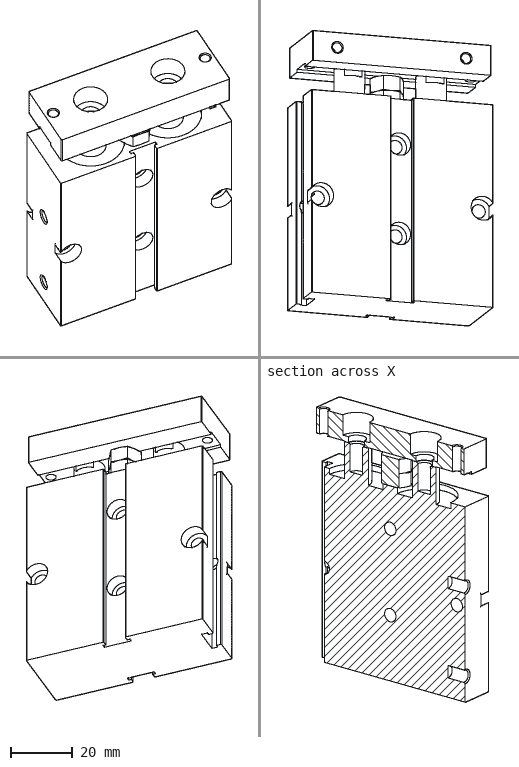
import cadquery as cq
import math

TOTAL_HEIGHT = 88
HOUSING_X = 25.0
HOUSING_Y = 62.0
HOUSING_Z = 68.0
PLATE_X = 24.0
PLATE_Y = 61.0
PLATE_Z = 10.0
EDGE_CHAMFER = 0.3
PLATE_BOTTOM = TOTAL_HEIGHT - PLATE_Z

ROD_SPACING = 28.0
ROD_DIAMETER = 10.0
ROD_FLAT_WIDTH = 8.0
ROD_FLAT_LENGTH = 3.0
ROD_SEAT_DEPTH = 1.0
ROD_THREAD_DIAMETER = 4.9
ROD_THREAD_DEPTH = 10.0
ROD_THREAD_MOUTH = 6.0
ROD_TOP = PLATE_BOTTOM + ROD_SEAT_DEPTH
RECESS_DIAMETER = 22
RECESS_DEPTH = 2.0
SCREW_CLEARANCE = 6.5
SCREW_HEAD_DIAMETER = 11.0
SCREW_HEAD_DEPTH = 7

SIDE_GROOVE_OPENING = 7.5
END_GROOVE_OPENING = 6.8
GROOVE_LIP = 1.8
GROOVE_UNDERCUT = 1.0
SIDE_GROOVE_DEPTH = 2.8
END_GROOVE_DEPTH = 3.8

END_HOLE_SPACING = 55.0
END_HOLE_Z = 33.0
CENTER_HOLE_ZS = (23.0, 53.0)
END_BORE_DIAMETER = 4.5
END_COUNTERBORE_DIAMETER = 8.0
CENTER_BORE_DIAMETER = 4.5
CENTER_COUNTERBORE_DIAMETER = 7.5
COUNTERBORE_DEPTH = 4.2

PORT_ZS = (9.0, 40.0)
PORT_DIAMETER = 4.1
PORT_MOUTH = 5.0
PORT_DEPTH = 7

PLATE_HOLE_DIAMETER = 3.3
PLATE_HOLE_MOUTH = 4.0
PLATE_SIDE_HOLE_SPACING = 44
PLATE_SIDE_HOLE_DROP = 5.0
PLATE_SIDE_HOLE_DEPTH = 7

HEX_ACROSS_FLATS = 9.9
HEX_ACROSS_CORNERS = HEX_ACROSS_FLATS / math.cos(math.radians(30))
HEX_CHAMFER_ANGLE = 15
HEX_X = 3.5
HEX_HEIGHT = (PLATE_BOTTOM - HOUSING_Z) / 2

UP = (0, 0, 1)
DOWN = (0, 0, -1)
ROD_YS = (-ROD_SPACING / 2, ROD_SPACING / 2)
END_HOLE_YS = (-END_HOLE_SPACING / 2, END_HOLE_SPACING / 2)


def cylinder(diameter, length, start, direction):
    return cq.Workplane(cq.Solid.makeCylinder(diameter / 2, length, cq.Vector(*start), cq.Vector(*direction)))


def threaded_hole(diameter, mouth, depth, start, direction):
    """Cutter for a threaded hole with a 45 degree countersunk mouth."""
    sink = (mouth - diameter) / 2
    cone = cq.Solid.makeCone(mouth / 2, diameter / 2, sink, cq.Vector(*start), cq.Vector(*direction))
    return cylinder(diameter, depth, start, direction).union(cq.Workplane(cone))


def block(size_x, size_y, size_z, bottom):
    """Box centred on the Z axis with broken vertical edges."""
    box = cq.Workplane("XY").box(size_x, size_y, size_z, centered=(True, True, False))
    return box.edges("|Z").chamfer(EDGE_CHAMFER).translate((0, 0, bottom))


def groove(opening, depth):
    """Undercut groove entering the plane y = 0 toward -Y, with chamfered lips."""
    half_mouth = opening / 2
    half_floor = half_mouth + GROOVE_UNDERCUT
    half_profile = [
        (half_mouth + EDGE_CHAMFER, 0),
        (half_mouth, -EDGE_CHAMFER),
        (half_mouth, -GROOVE_LIP),
        (half_floor, -GROOVE_LIP),
        (half_floor, -depth),
    ]
    mirrored = [(-x, y) for x, y in reversed(half_profile)]
    return cq.Workplane("XY").polyline(half_profile + mirrored).close().extrude(HOUSING_Z)


def counterbored_cross_hole(bore, counterbore, y, z, face_x):
    """Bore along X, counterbored from the two opposite faces at -face_x and +face_x."""
    cutter = cylinder(bore, HOUSING_X, (-HOUSING_X / 2, y, z), (1, 0, 0))
    for side in (-1, 1):
        cutter = cutter.union(cylinder(counterbore, COUNTERBORE_DEPTH, (side * face_x, y, z), (-side, 0, 0)))
    return cutter


def make_rod(y):
    """Guide rod with two flats and a threaded hole at its upper end."""
    bottom = HOUSING_Z - RECESS_DEPTH
    rod = cylinder(ROD_DIAMETER, ROD_TOP - bottom, (0, y, bottom), UP)
    flats_center = (0, y, ROD_TOP - ROD_FLAT_LENGTH / 2)
    outside = cq.Workplane("XY").box(2 * ROD_DIAMETER, 2 * ROD_DIAMETER, ROD_FLAT_LENGTH)
    between = cq.Workplane("XY").box(ROD_FLAT_WIDTH, 2 * ROD_DIAMETER, ROD_FLAT_LENGTH)
    rod = rod.cut(outside.cut(between).translate(flats_center))
    top = (0, y, ROD_TOP)
    return rod.cut(threaded_hole(ROD_THREAD_DIAMETER, ROD_THREAD_MOUTH, ROD_THREAD_DEPTH, top, DOWN))


def make_housing():
    """Cylinder housing together with its two guide rods."""
    housing = block(HOUSING_X, HOUSING_Y, HOUSING_Z, 0)

    side_groove = groove(SIDE_GROOVE_OPENING, SIDE_GROOVE_DEPTH).translate((0, HOUSING_X / 2, 0))
    for angle in (90, -90):
        housing = housing.cut(side_groove.rotate((0, 0, 0), UP, angle))
    housing = housing.cut(groove(END_GROOVE_OPENING, END_GROOVE_DEPTH).translate((0, HOUSING_Y / 2, 0)))

    side_x = HOUSING_X / 2
    groove_floor_x = side_x - SIDE_GROOVE_DEPTH
    for y in END_HOLE_YS:
        housing = housing.cut(
            counterbored_cross_hole(END_BORE_DIAMETER, END_COUNTERBORE_DIAMETER, y, END_HOLE_Z, side_x)
        )
    for z in CENTER_HOLE_ZS:
        housing = housing.cut(
            counterbored_cross_hole(CENTER_BORE_DIAMETER, CENTER_COUNTERBORE_DIAMETER, 0, z, groove_floor_x)
        )

    for z in PORT_ZS:
        start = (0, -HOUSING_Y / 2, z)
        housing = housing.cut(threaded_hole(PORT_DIAMETER, PORT_MOUTH, PORT_DEPTH, start, (0, 1, 0)))

    for y in ROD_YS:
        housing = housing.cut(cylinder(RECESS_DIAMETER, RECESS_DEPTH, (0, y, HOUSING_Z), DOWN))
        housing = housing.union(make_rod(y))
    return housing


def make_hexagon(bottom):
    """Hexagon with corners toward +Y and -Y, both ends chamfered down to the across-flats circle."""
    half_flats = HEX_ACROSS_FLATS / 2
    half_corners = HEX_ACROSS_CORNERS / 2
    drop = (half_corners - half_flats) * math.tan(math.radians(HEX_CHAMFER_ANGLE))
    hexagon = cq.Workplane("XY").polygon(6, HEX_ACROSS_CORNERS).extrude(HEX_HEIGHT)
    hexagon = hexagon.rotate((0, 0, 0), UP, 90)
    envelope = (
        cq.Workplane("XZ")
        .polyline([
            (0, 0),
            (half_flats, 0),
            (half_corners, drop),
            (half_corners, HEX_HEIGHT - drop),
            (half_flats, HEX_HEIGHT),
            (0, HEX_HEIGHT),
        ])
        .close()
        .revolve(360, (0, 0, 0), (0, 1, 0))
    )
    return hexagon.intersect(envelope).translate((HEX_X, 0, bottom))


def make_plate():
    """End plate with the stop bolt fixed under it."""
    plate = block(PLATE_X, PLATE_Y, PLATE_Z, PLATE_BOTTOM)

    seat = cq.Workplane("XY").box(ROD_FLAT_WIDTH, PLATE_Y, ROD_SEAT_DEPTH, centered=(True, True, False))
    plate = plate.cut(seat.translate((0, 0, PLATE_BOTTOM)))

    for y in ROD_YS:
        top = (0, y, TOTAL_HEIGHT)
        plate = plate.cut(cylinder(SCREW_CLEARANCE, PLATE_Z, top, DOWN))
        plate = plate.cut(cylinder(SCREW_HEAD_DIAMETER, SCREW_HEAD_DEPTH, top, DOWN))

    for y in END_HOLE_YS:
        start = (0, y, TOTAL_HEIGHT)
        plate = plate.cut(threaded_hole(PLATE_HOLE_DIAMETER, PLATE_HOLE_MOUTH, PLATE_Z, start, DOWN))
    for side in (-1, 1):
        start = (-PLATE_X / 2, side * PLATE_SIDE_HOLE_SPACING / 2, TOTAL_HEIGHT - PLATE_SIDE_HOLE_DROP)
        plate = plate.cut(
            threaded_hole(PLATE_HOLE_DIAMETER, PLATE_HOLE_MOUTH, PLATE_SIDE_HOLE_DEPTH, start, (1, 0, 0))
        )

    for bottom in (HOUSING_Z, HOUSING_Z + HEX_HEIGHT):
        plate = plate.union(make_hexagon(bottom))
    return plate


housing = make_housing()
plate = make_plate()

result = cq.Compound.makeCompound([housing.val(), plate.val()])